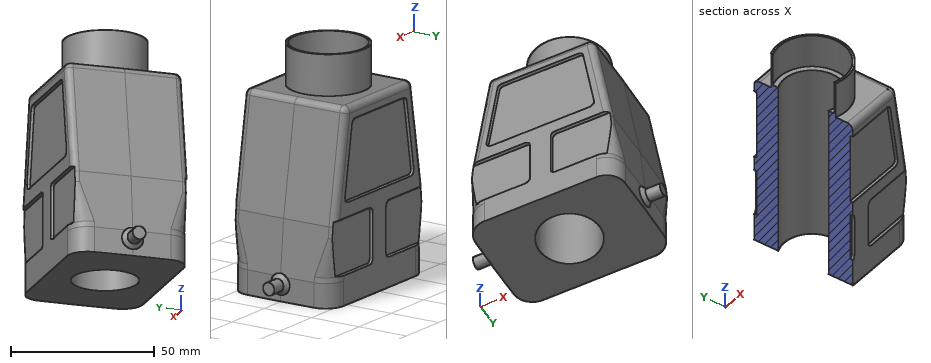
import cadquery as cq
import math

body_depth = 43.0
base_half_width = 29.9
kink_half_width = 28.0
top_half_width = 20.9
base_top_z = 9.2
kink_z = 29.8
body_top_z = 71.9
base_corner_radius = 7.5
edge_radius = 2.5
fillet_clearance = 0.01

ridge_drop = 0.3

blend_start_z = 11.3
blend_end_z = 25.75

total_height = 87.0
neck_diameter = 30.0
socket_diameter = 28.3
bore_diameter = 24.0
socket_floor_z = 73.25
neck_overlap = 1.7

pin_span = 74.2
pin_diameter = 4.8
pin_z = 6.3
pin_collar_diameter = 8.35
pin_collar_length = 1.7
pin_embedded_length = 1.7

recess_depth = 1.05
recess_wall_inset = 0.35
recess_corner_radius = 2.0
window_bottom_z = 37.15
window_top_z = 66.6
window_side_margin = 5.05
grip_bottom_z = 11.05
grip_top_z = 31.75
grip_inner_x = 4.1
grip_overrun = 4.35


def half_width_at(z):
    """Half width in X of the body at height z, measured on the side ridge."""
    profile = [
        (0, base_half_width),
        (base_top_z, base_half_width),
        (kink_z, kink_half_width),
        (body_top_z, top_half_width),
    ]
    for (low_z, low_width), (high_z, high_width) in zip(profile, profile[1:]):
        if z <= high_z:
            return low_width + (high_width - low_width) * (z - low_z) / (high_z - low_z)
    return top_half_width


def rounded_section(z, corner_radius):
    """Body outline at height z, with its four corners rounded."""
    ridge_x = half_width_at(z)
    corner_x = ridge_x - ridge_drop
    corner_y = body_depth / 2
    outline = [
        (corner_x, -corner_y),
        (ridge_x, 0),
        (corner_x, corner_y),
        (-corner_x, corner_y),
        (-ridge_x, 0),
        (-corner_x, -corner_y),
        (corner_x, -corner_y),
    ]
    sketch = cq.Sketch().polygon(outline).vertices("<Y or >Y").fillet(corner_radius)
    return sketch.moved(cq.Location(cq.Vector(0, 0, z)))


def body_layer(lower, upper):
    """Straight-sided solid between two (height, corner radius) sections."""
    sections = [rounded_section(*lower), rounded_section(*upper)]
    return cq.Workplane("XY").placeSketch(*sections).loft(ruled=True)


def make_body():
    upper_body = body_layer((kink_z, edge_radius), (body_top_z, edge_radius))
    body = upper_body.faces(">Z").edges().fillet(edge_radius - fillet_clearance)
    lower_sections = [
        (0, base_corner_radius),
        (base_top_z, base_corner_radius),
        (blend_start_z, base_corner_radius),
        (blend_end_z, edge_radius),
        (kink_z, edge_radius),
    ]
    for lower, upper in zip(lower_sections, lower_sections[1:]):
        body = body.union(body_layer(lower, upper))
    return body.clean()


def recess_cutter(outline, face_side):
    """Recess with sloped walls in the wide face on side face_side (-1 or 1) of Y."""
    wall_angle = math.degrees(math.atan(recess_wall_inset / recess_depth))
    rim = cq.Sketch().polygon(outline + outline[:1]).vertices().fillet(recess_corner_radius)
    cutter = cq.Workplane("XZ").placeSketch(rim).extrude(-recess_depth, taper=wall_angle)
    cutter = cutter.translate((0, -body_depth / 2, 0))
    return cutter if face_side < 0 else cutter.mirror("XZ")


def window_outline():
    bottom_x = half_width_at(window_bottom_z) - window_side_margin
    top_x = half_width_at(window_top_z) - window_side_margin
    return [
        (-bottom_x, window_bottom_z),
        (bottom_x, window_bottom_z),
        (top_x, window_top_z),
        (-top_x, window_top_z),
    ]


def grip_outline(x_side):
    """Rectangle that runs out past the narrow side of the body."""
    inner_x = x_side * grip_inner_x
    outer_x = x_side * (base_half_width + grip_overrun)
    return [
        (inner_x, grip_bottom_z),
        (outer_x, grip_bottom_z),
        (outer_x, grip_top_z),
        (inner_x, grip_top_z),
    ]


def make_pin(x_side):
    """Pin with a conical collar, revolved about its own axis."""
    inner_x = x_side * (base_half_width - pin_embedded_length)
    collar_start = base_half_width - ridge_drop
    collar_start_x = x_side * collar_start
    collar_end_x = x_side * (collar_start + pin_collar_length)
    tip_x = x_side * pin_span / 2
    profile = [
        (inner_x, 0),
        (inner_x, pin_collar_diameter / 2),
        (collar_start_x, pin_collar_diameter / 2),
        (collar_end_x, pin_diameter / 2),
        (tip_x, pin_diameter / 2),
        (tip_x, 0),
    ]
    pin = cq.Workplane("XY").polyline(profile).close().revolve(360, (0, 0), (1, 0))
    return pin.translate((0, 0, pin_z))


def cylinder(diameter, bottom_z, top_z):
    return cq.Workplane("XY").workplane(offset=bottom_z).circle(diameter / 2).extrude(top_z - bottom_z)


result = make_body()
for face_side in (-1, 1):
    result = result.cut(recess_cutter(window_outline(), face_side))
    for x_side in (-1, 1):
        result = result.cut(recess_cutter(grip_outline(x_side), face_side))

for x_side in (-1, 1):
    result = result.union(make_pin(x_side))

result = result.union(cylinder(neck_diameter, body_top_z - neck_overlap, total_height))
result = result.cut(cylinder(socket_diameter, socket_floor_z, total_height))
result = result.cut(cylinder(bore_diameter, 0, total_height))